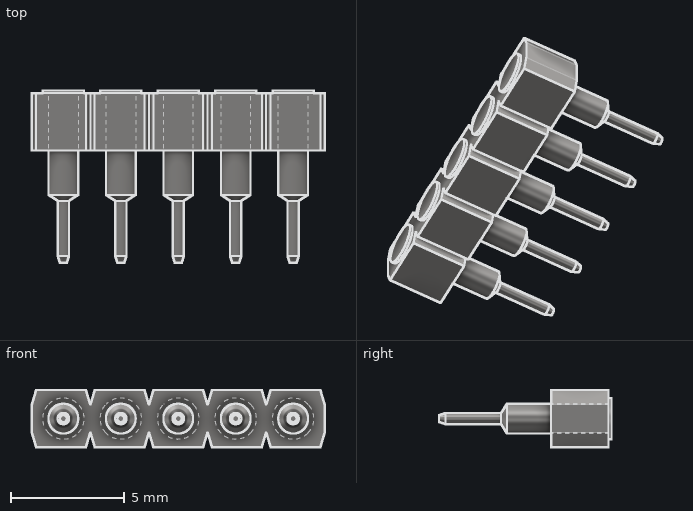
import cadquery as cq

PIN_COUNT = 5
HOUSING_LENGTH = 12.93
HOUSING_SIZE = 2.53
CELL_LENGTH = HOUSING_LENGTH / PIN_COUNT
BEVEL_WIDTH = 0.2
BEVEL_HEIGHT = 0.65

PIN_PITCH = 2.53
FLANGE_DIAMETER = 1.82
SLEEVE_DIAMETER = 1.32
ROD_DIAMETER = 0.5
TIP_DIAMETER = 0.31
FLANGE_THICKNESS = 0.13
SLEEVE_PROJECTION = 1.95
SHOULDER_LENGTH = 0.26
ROD_LENGTH = 2.45
TIP_LENGTH = 0.3

HOUSING_FRONT = -HOUSING_SIZE
SHOULDER_START = HOUSING_FRONT - SLEEVE_PROJECTION
ROD_START = SHOULDER_START - SHOULDER_LENGTH
TIP_START = ROD_START - ROD_LENGTH
TIP_END = TIP_START - TIP_LENGTH

pin_positions = [(i - (PIN_COUNT - 1) / 2) * PIN_PITCH for i in range(PIN_COUNT)]


def make_housing():
    """Bar with bevelled ends, V notches between the cells and a through hole for each pin."""
    half_length = HOUSING_LENGTH / 2
    half_height = HOUSING_SIZE / 2
    notch_bottom = half_height - BEVEL_HEIGHT

    upper_edge = []
    for i in range(PIN_COUNT):
        left = -half_length + i * CELL_LENGTH
        right = left + CELL_LENGTH
        upper_edge.append((left, notch_bottom))
        upper_edge.append((left + BEVEL_WIDTH, half_height))
        upper_edge.append((right - BEVEL_WIDTH, half_height))
    upper_edge.append((half_length, notch_bottom))
    lower_edge = [(x, -z) for x, z in reversed(upper_edge)]

    body = cq.Workplane("XZ").polyline(upper_edge + lower_edge).close().extrude(HOUSING_SIZE)
    holes = (
        cq.Workplane("XZ")
        .pushPoints([(x, 0) for x in pin_positions])
        .circle(SLEEVE_DIAMETER / 2)
        .extrude(HOUSING_SIZE)
    )
    return body.cut(holes)


def make_pin(x):
    """Turned pin with its axis along Y: flange, sleeve, conical shoulder, rod and tapered tip."""
    profile = [
        (0, FLANGE_THICKNESS),
        (FLANGE_DIAMETER / 2, FLANGE_THICKNESS),
        (FLANGE_DIAMETER / 2, 0),
        (SLEEVE_DIAMETER / 2, 0),
        (SLEEVE_DIAMETER / 2, SHOULDER_START),
        (ROD_DIAMETER / 2, ROD_START),
        (ROD_DIAMETER / 2, TIP_START),
        (TIP_DIAMETER / 2, TIP_END),
        (0, TIP_END),
    ]
    pin = cq.Workplane("XY").polyline(profile).close().revolve(360, (0, 0, 0), (0, 1, 0))
    return pin.translate((x, 0, 0))


housing = make_housing()
pins = [make_pin(x) for x in pin_positions]

result = cq.Compound.makeCompound([housing.val(), *[pin.val() for pin in pins]])